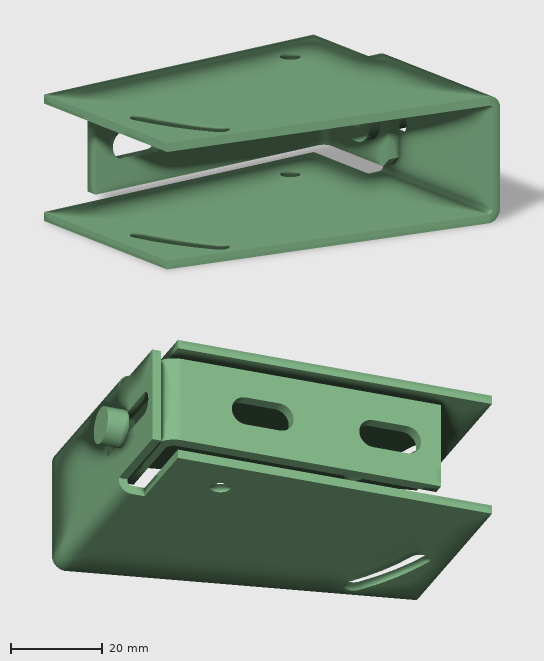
import cadquery as cq
import math

channel_width = 60.0
channel_depth = 80.0
channel_height = 29.0
front_width = 45.0
sheet = 2.0
bend_radius = 3.0

relief_width = 20.0
relief_depth = 6.0
strip_height = 22.0

pivot_x = 10.0
pivot_y = -20.0
pivot_diameter = 4.5
arc_radius = 55.85
arc_start = 17
arc_end = 37

bracket_thickness = 3.0
bracket_bend_radius = 5.0
bracket_height = 20.0
bracket_arm = 26.0
bracket_leg = 66.0
arm_chamfer = 2.0
leg_slot_length = 14.5
leg_slot_width = 6.6
leg_slot_first_y = -26.0
leg_slot_pitch = 30.0

fastener_x = 18.0
boss_diameter = 8.5
boss_length = 5.0
head_diameter = 10.3
head_thickness = 3.0
head_bore_diameter = 4.2
head_bore_depth = 2.0
wall_slot_left = 2.4
wall_slot_right = 28.5
wall_slot_width = 5.3


def centred_block(x_min, x_max, y_min, y_max, height):
    """Block between the given X and Y limits, centred on Z = 0."""
    return (
        cq.Workplane("XY", origin=(x_min, y_min, -height / 2))
        .box(x_max - x_min, y_max - y_min, height, centered=False)
    )


def y_cylinder(diameter, y_start, length):
    """Cylinder on the fastener axis, running from y_start towards -Y."""
    return cq.Workplane("XZ", origin=(fastener_x, y_start, 0)).circle(diameter / 2).extrude(length)


def arc_slot():
    """Rounded slot following an arc about the pivot, through both flanges."""
    half_width = pivot_diameter / 2

    def polar(radius, degrees):
        angle = math.radians(degrees)
        return (pivot_x + radius * math.sin(angle), pivot_y - radius * math.cos(angle))

    inner = arc_radius - half_width
    outer = arc_radius + half_width
    middle = (arc_start + arc_end) / 2
    end_overrun = math.degrees(half_width / arc_radius)
    return (
        cq.Workplane("XY")
        .moveTo(*polar(inner, arc_start))
        .threePointArc(polar(inner, middle), polar(inner, arc_end))
        .threePointArc(polar(arc_radius, arc_end + end_overrun), polar(outer, arc_end))
        .threePointArc(polar(outer, middle), polar(outer, arc_start))
        .threePointArc(polar(arc_radius, arc_start - end_overrun), polar(inner, arc_start))
        .close()
        .extrude(channel_height, both=True)
    )


def make_channel():
    outline = [
        (0, 0),
        (channel_width, 0),
        (channel_width, -bend_radius),
        (front_width, -channel_depth),
        (0, -channel_depth),
    ]
    body = (
        cq.Workplane("XY", origin=(0, 0, -channel_height / 2))
        .polyline(outline).close().extrude(channel_height)
        .edges("|X and >Y").fillet(bend_radius)
    )
    inner_height = channel_height - 2 * sheet
    cavity = (
        centred_block(-sheet, channel_width + sheet, -channel_depth - sheet, -sheet, inner_height)
        .edges("|X and >Y").fillet(bend_radius - sheet)
    )
    body = body.cut(cavity)

    relief = centred_block(0, relief_width, -relief_depth, 0, channel_height)
    strip = centred_block(0, relief_width, -relief_depth, 0, strip_height)
    body = body.cut(relief.cut(strip))

    pivot_hole = (
        cq.Workplane("XY").center(pivot_x, pivot_y)
        .circle(pivot_diameter / 2).extrude(channel_height, both=True)
    )
    wall_slot = (
        cq.Workplane("XZ", origin=((wall_slot_left + wall_slot_right) / 2, 0, 0))
        .slot2D(wall_slot_right - wall_slot_left, wall_slot_width).extrude(sheet)
    )
    return body.cut(pivot_hole).cut(arc_slot()).cut(wall_slot)


def make_bracket():
    arm_back = -sheet
    arm_front = arm_back - bracket_thickness
    leg_end = arm_back - bracket_leg
    body = (
        centred_block(0, bracket_arm, leg_end, arm_back, bracket_height)
        .edges("|Z and <X and >Y").fillet(bracket_bend_radius)
        .edges("|Y and >X").chamfer(arm_chamfer)
    )
    inside = (
        centred_block(bracket_thickness, bracket_arm, leg_end, arm_front, bracket_height)
        .edges("|Z and <X and >Y").fillet(bracket_bend_radius - bracket_thickness)
    )
    body = body.cut(inside)

    for index in range(2):
        slot_y = leg_slot_first_y - index * leg_slot_pitch
        slot = (
            cq.Workplane("YZ", origin=(0, slot_y, 0))
            .slot2D(leg_slot_length, leg_slot_width).extrude(bracket_thickness)
        )
        body = body.cut(slot)
    return body


def make_fastener():
    head_back = -sheet - bracket_thickness
    boss = y_cylinder(boss_diameter, boss_length, boss_length)
    shank = y_cylinder(wall_slot_width, 0, -head_back)
    head = y_cylinder(head_diameter, head_back, head_thickness)
    bore_start = head_back - head_thickness + head_bore_depth
    bore = y_cylinder(head_bore_diameter, bore_start, head_bore_depth)
    return boss.union(shank).union(head).cut(bore)


result = make_channel().union(make_bracket()).union(make_fastener())